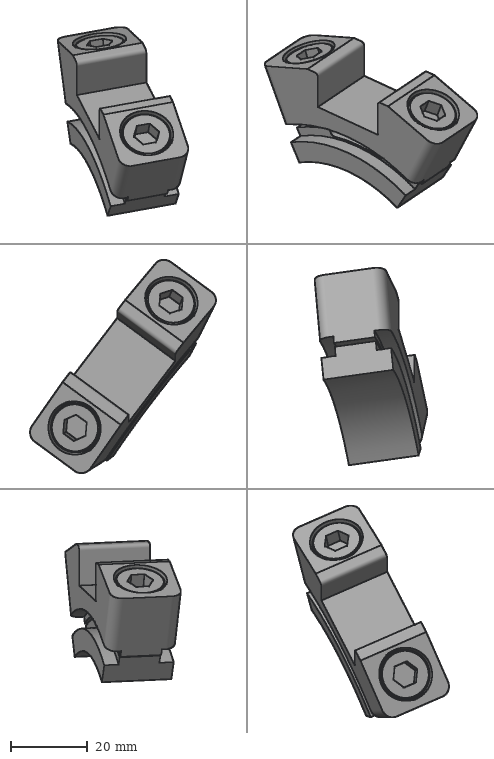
import cadquery as cq
import math


body_length = 59.55
body_width = 19.0
body_top = 60.75
side_lean = 25.0
shoulder_half = 13.65
body_inner_radius = 45.25
corner_radius = 3.0
notch_half = 10.1
notch_depth = 10.4
notch_edge_radius = 1.1
tongue_inner_radius = 43.45
tongue_width = 10.9

clamp_width = 18.6
clamp_inner_radius = 34.25
ledge_radius = 40.15
clamp_tongue_radius = 42.6
clamp_half_angle = 29.0
relief_radius = 40.65
relief_top_half = 9.65
relief_wall_lean = 30.0
relief_fillet = 1.2

screw_angle = 20.0
shank_diameter = 8.0
head_diameter = 13.0
head_height = shank_diameter
head_chamfer = 0.35
head_recess = 0.5
counterbore_diameter = 14.0
socket_across_flats = 6.0
socket_depth = 4.0
shank_engagement = 1.8


def tangent_of(degrees):
    return math.tan(math.radians(degrees))


def prism(points, width):
    """Closed XZ outline extruded symmetrically about Y = 0."""
    return cq.Workplane("XZ").polyline(points).close().extrude(width / 2, both=True)


def cylinder(radius, width):
    """Cylinder on the arc axis."""
    return cq.Workplane("XZ").circle(radius).extrude(width / 2, both=True)


def make_body():
    half_length = body_length / 2
    end_top = body_top - (half_length - shoulder_half) * tangent_of(screw_angle)
    base = tongue_inner_radius / 2
    base_half = half_length - (end_top - base) * tangent_of(side_lean)
    notch_floor = body_top - notch_depth
    right_side = [
        (notch_half, notch_floor),
        (notch_half, body_top),
        (shoulder_half, body_top),
        (half_length, end_top),
        (base_half, base),
    ]
    left_side = [(-x, z) for x, z in reversed(right_side)]
    body = prism(right_side + left_side, body_width)

    lean = math.radians(side_lean)
    for side in (-1, 1):
        end_edge = cq.Vector(side * math.sin(lean), 0, math.cos(lean))
        body = body.edges(cq.selectors.ParallelDirSelector(end_edge)).fillet(corner_radius)
        notch_edge = cq.selectors.NearestToPointSelector((side * notch_half, 0, body_top))
        body = body.edges(notch_edge).fillet(notch_edge_radius)

    tongue = body.intersect(cq.Workplane("XY").box(body_length, tongue_width, 2 * body_top))
    tongue = tongue.cut(cylinder(tongue_inner_radius, body_width))
    return body.cut(cylinder(body_inner_radius, body_width)).union(tongue)


def make_relief():
    """Shallow pocket across the middle of the clamp tongue, with an arched floor."""
    lean = tangent_of(relief_wall_lean)
    wall_top = math.sqrt(clamp_tongue_radius**2 - relief_top_half**2)
    rise = body_top - wall_top
    drop = wall_top - ledge_radius / 2
    open_half = relief_top_half + rise * lean
    closed_half = relief_top_half - drop * lean
    outline = [
        (-open_half, body_top),
        (open_half, body_top),
        (closed_half, wall_top - drop),
        (-closed_half, wall_top - drop),
    ]
    relief = prism(outline, clamp_width).cut(cylinder(relief_radius, clamp_width))
    for side in (-1, 1):
        floor_corner = (side * relief_top_half, 0, relief_radius)
        lower_edges = relief.edges("|Y").edges(cq.selectors.NearestToPointSelector(floor_corner))
        relief = relief.newObject(lower_edges.vals()).fillet(relief_fillet)
    return relief


def make_clamp():
    reach = body_top
    spread = reach * tangent_of(clamp_half_angle)
    wedge = prism([(0, 0), (spread, reach), (-spread, reach)], clamp_width)
    base = cylinder(ledge_radius, clamp_width)
    tongue = cylinder(clamp_tongue_radius, tongue_width).cut(make_relief())
    ring = base.union(tongue).cut(cylinder(clamp_inner_radius, clamp_width))
    return ring.intersect(wedge)


def upright_cylinder(diameter, bottom, top):
    return cq.Workplane("XY").workplane(offset=bottom).circle(diameter / 2).extrude(top - bottom)


screw_slope = math.radians(screw_angle)
slope_distance = body_top * math.cos(screw_slope) + shoulder_half * math.sin(screw_slope)
head_top = slope_distance - head_recess
head_seat = head_top - head_height


def make_screw():
    head = upright_cylinder(head_diameter, head_seat, head_top).faces(">Z").chamfer(head_chamfer)
    shank = upright_cylinder(shank_diameter, clamp_tongue_radius - shank_engagement, head_seat)
    socket_corners = socket_across_flats / math.cos(math.pi / 6)
    socket = (
        cq.Workplane("XY").workplane(offset=head_top - socket_depth)
        .transformed(rotate=(0, 0, 90))
        .polygon(6, socket_corners).extrude(socket_depth)
    )
    return head.union(shank).cut(socket)


def tilt(shape, side):
    """Swing an upright shape about the arc axis to one end of the body."""
    return shape.rotate((0, 0, 0), (0, 1, 0), side * screw_angle)


counterbore = upright_cylinder(counterbore_diameter, head_seat, slope_distance + head_height)
screw = make_screw()

result = make_body().union(make_clamp())
for side in (-1, 1):
    result = result.cut(tilt(counterbore, side)).union(tilt(screw, side))